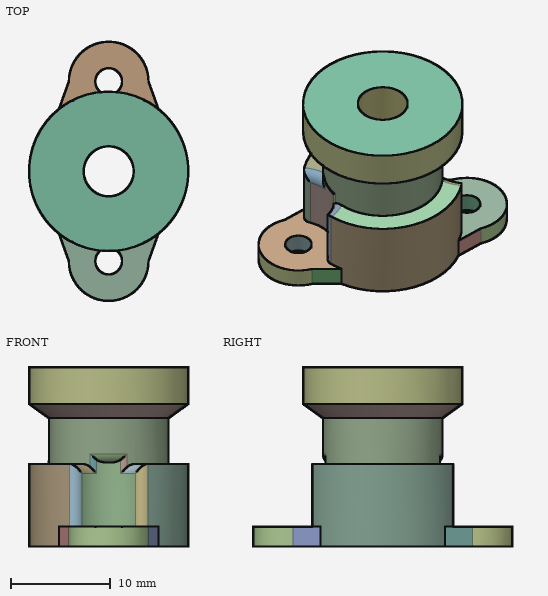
import cadquery as cq
import math

total_length = 26.0
total_height = 18.0
body_radius = 16.0 / 2

neck_radius = 6.0
bore_radius = 2.5
base_height = 8.3
cone_bottom = 12.87
rim_bottom = 14.3

ear_radius = 4.0
ear_thickness = 2.0
ear_hole_radius = 1.33
ear_center = total_length / 2 - ear_radius
ear_root_half_width = 5.0
ear_root_y = math.sqrt(body_radius**2 - ear_root_half_width**2)

clearance_radius = 3.5
edge_round = 1.0


def both_sides(solid):
    """Join a -Y side solid with its copy on the +Y side."""
    return solid.union(solid.rotate((0, 0, 0), (0, 0, 1), 180))


def clearance_cutter(outer_radius, bottom, top):
    """Clearance around the ear axis, with rounded corners where it leaves a cylinder."""
    center_radius = outer_radius - edge_round
    ear_distance = clearance_radius + edge_round
    center_y = -(ear_center**2 + center_radius**2 - ear_distance**2) / (2 * ear_center)
    center_x = math.sqrt(center_radius**2 - center_y**2)
    outward_x = center_x / center_radius
    outward_y = center_y / center_radius
    inward_x = -center_x / ear_distance
    inward_y = -(ear_center + center_y) / ear_distance
    middle_length = math.hypot(outward_x + inward_x, outward_y + inward_y)

    outer_x = center_x + edge_round * outward_x
    outer_y = center_y + edge_round * outward_y
    inner_x = center_x + edge_round * inward_x
    inner_y = center_y + edge_round * inward_y
    middle_x = center_x + edge_round * (outward_x + inward_x) / middle_length
    middle_y = center_y + edge_round * (outward_y + inward_y) / middle_length
    return (
        cq.Workplane("XY", origin=(0, 0, bottom))
        .moveTo(-outer_x, -ear_center)
        .lineTo(-outer_x, outer_y)
        .threePointArc((-middle_x, middle_y), (-inner_x, inner_y))
        .threePointArc((0, clearance_radius - ear_center), (inner_x, inner_y))
        .threePointArc((middle_x, middle_y), (outer_x, outer_y))
        .lineTo(outer_x, -ear_center)
        .close()
        .extrude(top - bottom)
    )


def make_base():
    """Lower cylinder with a clearance on each side and a rounded upper lip."""
    cutter = clearance_cutter(body_radius, ear_thickness, base_height)
    flare_radius = clearance_radius + edge_round
    flare_bottom = base_height - edge_round
    arc_reach = edge_round * math.sqrt(0.5)
    flare = (
        cq.Workplane("XZ")
        .moveTo(0, flare_bottom)
        .lineTo(clearance_radius, flare_bottom)
        .threePointArc(
            (flare_radius - arc_reach, flare_bottom + arc_reach),
            (flare_radius, base_height),
        )
        .lineTo(0, base_height)
        .close()
        .revolve(360, (0, 0, 0), (0, 1, 0))
        .translate((0, -ear_center, 0))
    )
    base = cq.Workplane("XY").circle(body_radius).extrude(base_height)
    return base.cut(both_sides(cutter.union(flare)))


def make_neck():
    """Neck whose clearance notches run just above the base under a rounded edge."""
    neck = cq.Workplane("XY").circle(neck_radius).extrude(cone_bottom)
    cutter = clearance_cutter(neck_radius, ear_thickness, base_height + edge_round)
    rounded_neck = (
        cq.Workplane("XY", origin=(0, 0, base_height))
        .circle(neck_radius)
        .extrude(cone_bottom - base_height)
        .faces("<Z")
        .edges()
        .fillet(edge_round)
    )
    return neck.cut(both_sides(cutter)).union(rounded_neck)


def make_head():
    """Conical underside and cylindrical rim."""
    return (
        cq.Workplane("XZ")
        .moveTo(0, cone_bottom)
        .lineTo(neck_radius, cone_bottom)
        .lineTo(body_radius, rim_bottom)
        .lineTo(body_radius, total_height)
        .lineTo(0, total_height)
        .close()
        .revolve(360, (0, 0, 0), (0, 1, 0))
    )


def make_ear():
    """Rounded ear on the -Y side, widening toward its root on the base."""
    return (
        cq.Workplane("XY")
        .moveTo(-ear_root_half_width, -ear_root_y)
        .lineTo(-ear_radius, -ear_center)
        .threePointArc((0, -total_length / 2), (ear_radius, -ear_center))
        .lineTo(ear_root_half_width, -ear_root_y)
        .close()
        .extrude(ear_thickness)
    )


bore = cq.Workplane("XY").circle(bore_radius).extrude(total_height)
ear_holes = (
    cq.Workplane("XY")
    .pushPoints([(0, -ear_center), (0, ear_center)])
    .circle(ear_hole_radius)
    .extrude(ear_thickness)
)

result = (
    make_base()
    .union(make_neck())
    .union(make_head())
    .union(both_sides(make_ear()))
    .cut(bore)
    .cut(ear_holes)
)